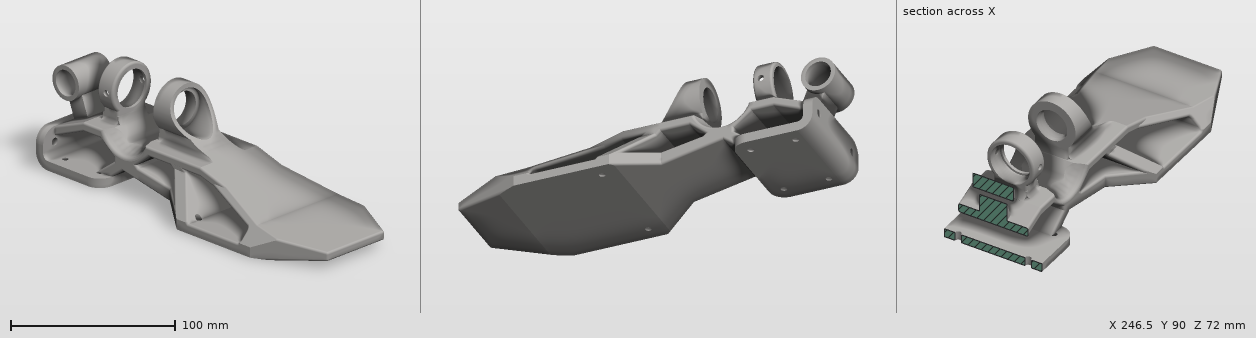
import cadquery as cq
import math

HEEL_HALF_WIDTH = 35.0
HEEL_HEIGHT = 25.3
HEEL_LENGTH = 55.0
PLATE = 6.2
HEEL_CORNER_RADIUS = 10.0
HEEL_INNER_RADIUS = 4.0
SCREW_RADIUS = 2.1
HEEL_SCREW_XS = (15.3, 45.2)
HEEL_SCREW_Y = 25.0
HEEL_FACE_SCREW_Z = 15.0
HEEL_FACE_SCREW_RADIUS = 2.5

DECK_HALF_WIDTH = 25.0
TOE_HALF_WIDTH = 45.0
DECK_Z = 34.8
DECK_UNDERSIDE_Z = 28.8
DECK_START_X = 30.6
DECK_SLOPE = math.atan2(DECK_Z - HEEL_HEIGHT, DECK_START_X - PLATE)
DECK_END_X = 131.0
FLARE_BASE_Z = 6.8
FLARE_TOP_Z = 27.6
FLARE_START_X = 105.0
FLARE_END_X = 130.8
TOE_BEND_X = 190.0
TOE_BEND_Z = 17.3
TOE_TAPER_X = 194.2
TIP_X = 240.3
TIP_HALF_WIDTH = 24.5
TIP_TOP_Z = 10.7
TIP_BOTTOM_Z = 5.0
TOE_LIFT_X = 206.5
EDGE_RADIUS = 1.5
SIDE_NORMAL_LIMIT = 0.3
TOE_SCREW_X = 139.7
TOE_SCREW_Y = 34.8

SADDLE_X = 65.2
SADDLE_FLOOR_Z = 26.6
SADDLE_FLOOR_HALF = 7.4
SADDLE_CORNER_RADIUS = 6.0
SCOOP_AXIS_Z = 41.6
SCOOP_RADIUS = 10.9
SCOOP_TAPER = 0.364
SCOOP_LIP = 2.0

RING_Z = 55.0
RING_RADIUS = 17.0
RING_BORE_RADIUS = 14.0
POST_HALF_WIDTH = 12.0
POST_FOOT_RADIUS = 2.4
POST_SADDLE_RADIUS = 8.0
REAR_RING_X = 34.9
REAR_RING_END_X = 47.8
REAR_LIP_RADIUS = 12.5
REAR_LIP = 2.0
RING_EDGE_RADIUS = 1.6
PIN_X = 42.3
REAR_POST_FILLET = 4.5
FRONT_RING_X = 83.1
FRONT_LIP_RADIUS = 11.0
FRONT_LIP = 8.5
FRONT_RING_TOP_X = 94.3
FRONT_SWEEP_RADIUS = 37.0

TUBE_X = 5.2
TUBE_Z = 50.2
TUBE_RADIUS = 11.4
TUBE_BORE_RADIUS = 8.5
TUBE_HALF_LENGTH = 14.6
STEM_HALF_WIDTH = 10.0
STEM_THICKNESS = 12.4


def side_extrusion(points, half_width):
    """Extrude an (X, Z) outline symmetrically about Y = 0."""
    return cq.Workplane("XZ").polyline(points).close().extrude(half_width, both=True)


def rod_y(x, z, radius, half_length):
    return cq.Workplane("XZ").center(x, z).circle(radius).extrude(half_length, both=True)


def rod_x(x_start, x_end, radius):
    """Cylinder on the common axis of the two rings."""
    return cq.Workplane("YZ", origin=(x_start, 0, RING_Z)).circle(radius).extrude(x_end - x_start)


def round_corners(solid, corners, radius):
    """Fillet the Y-parallel edges that pass through the given (X, Z) corners."""
    for x, z in corners:
        solid = solid.edges("|Y").edges(cq.selectors.NearestToPointSelector((x, 0, z))).fillet(radius)
    return solid


def make_heel():
    bracket = side_extrusion(
        [(0, 0), (HEEL_LENGTH, 0), (HEEL_LENGTH, PLATE), (PLATE, PLATE), (PLATE, HEEL_HEIGHT), (0, HEEL_HEIGHT)],
        HEEL_HALF_WIDTH,
    )
    bracket = round_corners(bracket, [(0, 0)], HEEL_CORNER_RADIUS)
    bracket = round_corners(bracket, [(PLATE, PLATE)], HEEL_INNER_RADIUS)
    bracket = bracket.faces(">Z").edges("|X").fillet(HEEL_CORNER_RADIUS)
    return bracket.faces(">X").edges("|Z").fillet(HEEL_CORNER_RADIUS)


def section_limit():
    """Cross-section of the foot: full width at the ground, narrowing to the deck."""
    half = [
        (TOE_HALF_WIDTH, 0),
        (TOE_HALF_WIDTH, FLARE_BASE_Z),
        (DECK_HALF_WIDTH, FLARE_TOP_Z),
        (DECK_HALF_WIDTH, DECK_Z + 1),
    ]
    mirrored = [(-y, z) for y, z in reversed(half)]
    return cq.Workplane("YZ").polyline(half + mirrored).close().extrude(TIP_X)


def plan_limit():
    """Plan outline: narrow deck, flare to the wide toe base, tapered tip."""
    half = [
        (0, DECK_HALF_WIDTH),
        (FLARE_START_X, DECK_HALF_WIDTH),
        (FLARE_END_X, TOE_HALF_WIDTH),
        (TOE_TAPER_X, TOE_HALF_WIDTH),
        (TIP_X, TIP_HALF_WIDTH),
    ]
    mirrored = [(x, -y) for x, y in reversed(half)]
    return cq.Workplane("XY").polyline(half + mirrored).close().extrude(DECK_Z + 1)


def side_rim(body):
    """Edges round the Y-facing sides, except those on the ground and between two side faces."""
    uses = {}
    for face in body.faces("%PLANE").vals():
        is_side = abs(face.normalAt().y) > SIDE_NORMAL_LIMIT
        for edge in face.Edges():
            entry = uses.setdefault(edge.hashCode(), [edge, 0])
            entry[1] += is_side
    return [edge for edge, count in uses.values() if count == 1 and edge.Center().z > 0.1]


def make_truss():
    """Deck, legs, lower rod and toe base around one long window."""
    body = side_extrusion(
        [
            (3, HEEL_HEIGHT - math.tan(DECK_SLOPE) * (PLATE - 3)),
            (DECK_START_X, DECK_Z),
            (DECK_END_X, DECK_Z),
            (TOE_BEND_X, TOE_BEND_Z),
            (TIP_X, TIP_TOP_Z),
            (TIP_X, TIP_BOTTOM_Z),
            (TOE_LIFT_X, 0),
            (128.5, 0),
            (64, 12.8),
            (51, 3.1),
            (38.5, 3.1),
            (57.0, 16.7),
            (57.0, 19.6),
            (45.2, DECK_UNDERSIDE_Z),
            (DECK_START_X, DECK_UNDERSIDE_Z),
            (3, 17.5),
        ],
        TOE_HALF_WIDTH,
    )
    window = side_extrusion(
        [
            (75.6, 19.8),
            (86.4, DECK_UNDERSIDE_Z),
            (DECK_END_X, DECK_UNDERSIDE_Z),
            (184.6, 13.6),
            (184.6, PLATE),
            (135, PLATE),
            (131.0, 9.1),
            (77.4, 18.3),
        ],
        TOE_HALF_WIDTH + 1,
    )
    window = round_corners(window, [(184.6, 13.6), (184.6, PLATE)], 2.0)
    body = body.cut(window).intersect(section_limit()).intersect(plan_limit())
    return body.newObject(side_rim(body) + body.faces(">X").edges("|Y").vals()).fillet(EDGE_RADIUS)


def make_strut():
    """Diagonal strut dividing the window, widening from the deck to the toe base."""
    bar = side_extrusion([(103.0, 31.3), (115.3, 31.3), (143.4, 3.2), (131.1, 3.2)], TOE_HALF_WIDTH)
    bar = bar.intersect(section_limit()).intersect(plan_limit())
    return bar.newObject(side_rim(bar)).fillet(EDGE_RADIUS)


def make_scoop():
    """Cone-sided hollow that deepens towards both sides and rolls over at the rim."""
    lip_y = DECK_HALF_WIDTH - SCOOP_LIP
    lip_radius = SCOOP_RADIUS + SCOOP_TAPER * lip_y
    rim_radius = lip_radius + SCOOP_LIP
    profile = (
        cq.Workplane("XY", origin=(SADDLE_X, 0, SCOOP_AXIS_Z))
        .moveTo(0, 0)
        .lineTo(SCOOP_RADIUS, 0)
        .lineTo(lip_radius, lip_y)
        .threePointArc((lip_radius + 0.4 * SCOOP_LIP, lip_y + 0.75 * SCOOP_LIP), (rim_radius, DECK_HALF_WIDTH))
        .lineTo(0, DECK_HALF_WIDTH)
        .close()
    )
    half = profile.revolve(360, (0, 0), (0, 1))
    return half.union(half.mirror("XZ"))


def make_saddle():
    """Flat-bottomed channel with 45 degree flanks across the middle of the deck."""
    rise = RING_Z - SADDLE_FLOOR_Z
    channel = side_extrusion(
        [
            (SADDLE_X - SADDLE_FLOOR_HALF, SADDLE_FLOOR_Z),
            (SADDLE_X + SADDLE_FLOOR_HALF, SADDLE_FLOOR_Z),
            (SADDLE_X + SADDLE_FLOOR_HALF + rise, RING_Z),
            (SADDLE_X - SADDLE_FLOOR_HALF - rise, RING_Z),
        ],
        DECK_HALF_WIDTH,
    )
    corners = [(SADDLE_X + side * SADDLE_FLOOR_HALF, SADDLE_FLOOR_Z) for side in (-1, 1)]
    return round_corners(channel, corners, SADDLE_CORNER_RADIUS)


def flank_fillet(wall_x, direction):
    """Concave web from a ring's vertical wall down to the 45 degree saddle flank."""
    flank_reach = SADDLE_X - SADDLE_FLOOR_HALF - REAR_RING_END_X
    corner_z = SADDLE_FLOOR_Z + flank_reach
    tangent = POST_SADDLE_RADIUS * math.tan(math.radians(22.5))
    leg = tangent * math.sqrt(0.5)
    mid_angle = math.radians(202.5)
    mid_x = POST_SADDLE_RADIUS * (1 + math.cos(mid_angle))
    mid_z = corner_z + tangent + POST_SADDLE_RADIUS * math.sin(mid_angle)
    return (
        cq.Workplane("XZ")
        .moveTo(wall_x - direction, corner_z + tangent)
        .lineTo(wall_x, corner_z + tangent)
        .threePointArc((wall_x + direction * mid_x, mid_z), (wall_x + direction * leg, corner_z - leg))
        .lineTo(wall_x - direction, corner_z - leg)
        .close()
        .extrude(POST_HALF_WIDTH, both=True)
    )


def post_blank(x_start, x_end):
    """Ring disc standing on a straight foot, both still solid."""
    foot_bottom = DECK_UNDERSIDE_Z + 1
    foot = cq.Workplane("XY").box(
        x_end - x_start, 2 * POST_HALF_WIDTH, RING_Z - foot_bottom, centered=(False, True, False)
    )
    return rod_x(x_start, x_end, RING_RADIUS).union(foot.translate((x_start, 0, foot_bottom)))


def foot_flare(x_start, x_end):
    """Concave fillets from both sides of a post's foot out to the deck."""
    inner = POST_HALF_WIDTH
    outer = inner + POST_FOOT_RADIUS
    top = DECK_Z + POST_FOOT_RADIUS
    bulge = POST_FOOT_RADIUS * (1 - math.sqrt(0.5))
    return (
        cq.Workplane("YZ", origin=(x_start, 0, 0))
        .moveTo(-outer, DECK_Z)
        .threePointArc((-inner - bulge, DECK_Z + bulge), (-inner, top))
        .lineTo(inner, top)
        .threePointArc((inner + bulge, DECK_Z + bulge), (outer, DECK_Z))
        .lineTo(outer, DECK_Z - 1)
        .lineTo(-outer, DECK_Z - 1)
        .close()
        .extrude(x_end - x_start)
    )


def make_rear_post():
    post = post_blank(REAR_RING_X, REAR_RING_END_X)
    post = post.faces("<X or >X").edges().fillet(RING_EDGE_RADIUS)
    radius = REAR_POST_FILLET
    bulge = radius * (1 - math.sqrt(0.5))
    toe = (
        cq.Workplane("XZ")
        .moveTo(REAR_RING_X - radius, DECK_Z)
        .threePointArc((REAR_RING_X - bulge, DECK_Z + bulge), (REAR_RING_X, DECK_Z + radius))
        .lineTo(REAR_RING_X + RING_EDGE_RADIUS, DECK_Z + radius)
        .lineTo(REAR_RING_X + RING_EDGE_RADIUS, DECK_Z - 1)
        .lineTo(REAR_RING_X - radius, DECK_Z - 1)
        .close()
        .extrude(POST_HALF_WIDTH, both=True)
    )
    post = post.union(toe).union(foot_flare(REAR_RING_X, REAR_RING_END_X))
    return post.union(flank_fillet(REAR_RING_END_X, 1))


def make_front_post():
    """Ring whose front is swept down to the toe slope by a large tangent arc."""
    slope = math.atan2(DECK_Z - TOE_BEND_Z, TOE_BEND_X - DECK_END_X)
    centre_x = FRONT_RING_TOP_X + FRONT_SWEEP_RADIUS
    line_z = DECK_Z + (DECK_END_X - centre_x) * math.tan(slope)
    centre_z = line_z + FRONT_SWEEP_RADIUS / math.cos(slope)

    def sweep_point(angle):
        return (
            centre_x - FRONT_SWEEP_RADIUS * math.cos(angle),
            centre_z - FRONT_SWEEP_RADIUS * math.sin(angle),
        )

    start_angle = math.asin((centre_z - RING_Z - RING_RADIUS) / FRONT_SWEEP_RADIUS)
    end_angle = math.pi / 2 - slope
    start = sweep_point(start_angle)
    envelope = (
        cq.Workplane("XZ")
        .moveTo(FRONT_RING_X, DECK_UNDERSIDE_Z + 1)
        .lineTo(FRONT_RING_X, start[1])
        .lineTo(*start)
        .threePointArc(sweep_point((start_angle + end_angle) / 2), sweep_point(end_angle))
        .lineTo(DECK_END_X, DECK_Z)
        .lineTo(DECK_END_X, DECK_UNDERSIDE_Z + 1)
        .close()
        .extrude(RING_RADIUS + 1, both=True)
    )
    post = post_blank(FRONT_RING_X, DECK_END_X).union(foot_flare(FRONT_RING_X, DECK_END_X))
    return post.intersect(envelope).union(flank_fillet(FRONT_RING_X, -1))


def ring_bores():
    """Both stepped bores and the cross pin hole of the rear ring."""
    rear_step = REAR_RING_END_X - REAR_LIP
    front_step = FRONT_RING_X + FRONT_LIP
    cutter = rod_x(REAR_RING_X, rear_step, RING_BORE_RADIUS)
    cutter = cutter.union(rod_x(rear_step, REAR_RING_END_X, REAR_LIP_RADIUS))
    cutter = cutter.union(rod_x(FRONT_RING_X, front_step, FRONT_LIP_RADIUS))
    cutter = cutter.union(rod_x(front_step, DECK_END_X, RING_BORE_RADIUS))
    return cutter.union(rod_y(PIN_X, RING_Z, SCREW_RADIUS, RING_RADIUS + 1))


def make_tube():
    """Heel tube on a stem standing square to the sloped deck."""
    deck_z = HEEL_HEIGHT + (TUBE_X - PLATE) * math.tan(DECK_SLOPE)
    drop = (TUBE_Z - deck_z) * math.cos(DECK_SLOPE)
    plane = cq.Plane(
        origin=(TUBE_X, 0, TUBE_Z),
        xDir=(math.cos(DECK_SLOPE), 0, math.sin(DECK_SLOPE)),
        normal=(0, -1, 0),
    )
    stem = cq.Workplane(plane).center(0, -drop / 2).rect(STEM_THICKNESS, drop + 2)
    stem = stem.extrude(STEM_HALF_WIDTH, both=True)
    return stem.union(rod_y(TUBE_X, TUBE_Z, TUBE_RADIUS, TUBE_HALF_LENGTH))


def tube_bore():
    return rod_y(TUBE_X, TUBE_Z, TUBE_BORE_RADIUS, TUBE_HALF_LENGTH)


def screw_holes():
    floor_points = [(x, side * HEEL_SCREW_Y) for x in HEEL_SCREW_XS for side in (-1, 1)]
    heel = cq.Workplane("XY").pushPoints(floor_points).circle(SCREW_RADIUS).extrude(PLATE)
    face_points = [(side * HEEL_SCREW_Y, HEEL_FACE_SCREW_Z) for side in (-1, 1)]
    face = cq.Workplane("YZ").pushPoints(face_points).circle(HEEL_FACE_SCREW_RADIUS).extrude(PLATE)
    toe_points = [(TOE_SCREW_X, side * TOE_SCREW_Y) for side in (-1, 1)]
    toe = cq.Workplane("XY").pushPoints(toe_points).circle(SCREW_RADIUS).extrude(2 * PLATE)
    return heel.union(face).union(toe)


foot = make_truss().union(make_strut()).cut(make_scoop()).cut(make_saddle())
foot = foot.union(make_heel())
foot = foot.union(make_rear_post()).union(make_front_post()).union(make_tube())
result = foot.cut(ring_bores()).cut(tube_bore()).cut(screw_holes())